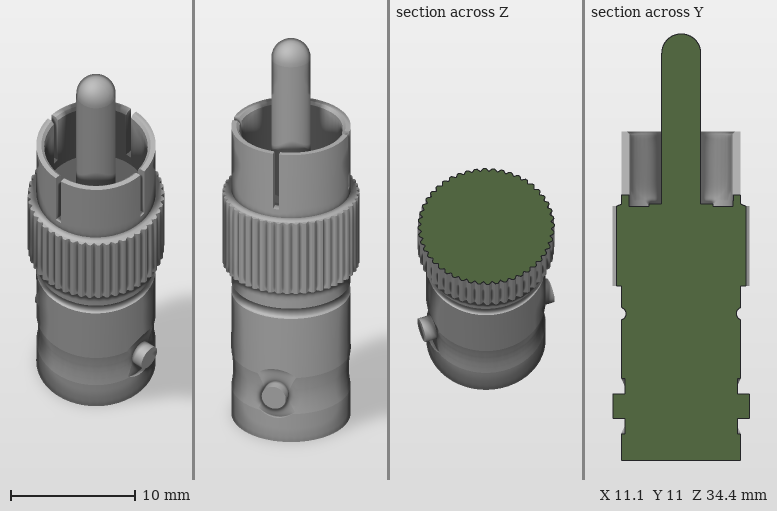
import cadquery as cq
import math

WAIST_BOTTOM = 2.58
WAIST_TOP = 5.90
GROOVE_BOTTOM = 11.37
GROOVE_TOP = 12.32
KNURL_BOTTOM = 14.05
KNURL_TOP = 20.50
KNURL_CONE_TOP = 20.68
SLOT_FLOOR = 21.42
SLEEVE_TOP = 26.50
PIN_TIP = 34.39

BODY_RADIUS = 4.81
WAIST_DEPTH = 0.16
GROOVE_DEPTH = 0.35

KNURL_RADIUS = 5.507
KNURL_DEPTH = 0.26
KNURL_ROOT_RADIUS = KNURL_RADIUS - KNURL_DEPTH
KNURL_COUNT = 48
KNURL_CREST_WIDTH = 0.20
KNURL_MARGIN = 0.3

SOCKET_FLOOR = KNURL_TOP
SOCKET_RADIUS = 4.17
SOCKET_MOUTH_RADIUS = 4.40
SOCKET_MOUTH_DEPTH = 0.23
SLOT_WIDTH = 0.50
INSULATOR_RADIUS = 2.60
INSULATOR_HEIGHT = 0.20
PIN_RADIUS = 1.59

LUG_SPAN = 11.05
LUG_RADIUS = 1.0
LUG_HEIGHT = 4.40
LUG_FLAT_RADIUS = 2.23
LUG_FLAT_OFFSET = 4.54


def make_body():
    """Turned body with a shallow waist, a round groove, the plain grip band and a cone above it."""
    waist_radius = BODY_RADIUS - WAIST_DEPTH
    waist_middle = (WAIST_BOTTOM + WAIST_TOP) / 2
    groove_radius = BODY_RADIUS - GROOVE_DEPTH
    groove_middle = (GROOVE_BOTTOM + GROOVE_TOP) / 2
    return (
        cq.Workplane("XZ")
        .moveTo(0, 0)
        .lineTo(BODY_RADIUS, 0)
        .lineTo(BODY_RADIUS, WAIST_BOTTOM)
        .threePointArc((waist_radius, waist_middle), (BODY_RADIUS, WAIST_TOP))
        .lineTo(BODY_RADIUS, GROOVE_BOTTOM)
        .threePointArc((groove_radius, groove_middle), (BODY_RADIUS, GROOVE_TOP))
        .lineTo(BODY_RADIUS, KNURL_BOTTOM)
        .lineTo(KNURL_RADIUS, KNURL_BOTTOM)
        .lineTo(KNURL_RADIUS, KNURL_TOP)
        .lineTo(KNURL_ROOT_RADIUS, KNURL_TOP)
        .lineTo(BODY_RADIUS, KNURL_CONE_TOP)
        .lineTo(BODY_RADIUS, SLEEVE_TOP)
        .lineTo(0, SLEEVE_TOP)
        .close()
        .revolve(360, (0, 0, 0), (0, 1, 0))
    )


def make_knurl_cutter():
    """V-grooves around the grip, with one groove centred on each axis."""
    pitch = 2 * math.pi * KNURL_RADIUS / KNURL_COUNT
    half_width = (pitch - KNURL_CREST_WIDTH) / 2
    outer = KNURL_RADIUS + KNURL_MARGIN
    outer_half_width = half_width * (outer - KNURL_ROOT_RADIUS) / KNURL_DEPTH
    groove = (
        cq.Workplane("XY")
        .workplane(offset=KNURL_BOTTOM)
        .polyline([(KNURL_ROOT_RADIUS, 0), (outer, -outer_half_width), (outer, outer_half_width)])
        .close()
        .extrude(KNURL_TOP - KNURL_BOTTOM)
        .val()
    )
    axis_start = cq.Vector(0, 0, 0)
    axis_end = cq.Vector(0, 0, 1)
    cutter = cq.Workplane("XY")
    for index in range(KNURL_COUNT):
        cutter = cutter.add(groove.rotate(axis_start, axis_end, index * 360 / KNURL_COUNT))
    return cutter.combine(glue=False)


def make_socket_cutter():
    """Bore of the sleeve, widening to its mouth."""
    return (
        cq.Workplane("XZ")
        .moveTo(0, SOCKET_FLOOR)
        .lineTo(SOCKET_RADIUS, SOCKET_FLOOR)
        .lineTo(SOCKET_RADIUS, SLEEVE_TOP - SOCKET_MOUTH_DEPTH)
        .lineTo(SOCKET_MOUTH_RADIUS, SLEEVE_TOP)
        .lineTo(0, SLEEVE_TOP)
        .close()
        .revolve(360, (0, 0, 0), (0, 1, 0))
    )


def make_slot_cutter():
    """Two crossing bars that slit the sleeve wall in four places."""
    length = 2 * KNURL_RADIUS
    depth = SLEEVE_TOP - SLOT_FLOOR
    plane = cq.Workplane("XY").workplane(offset=SLOT_FLOOR)
    along_x = plane.rect(length, SLOT_WIDTH).extrude(depth)
    along_y = plane.rect(SLOT_WIDTH, length).extrude(depth)
    return along_x.union(along_y)


def make_contact():
    """Insulator disc on the socket floor and the round-nosed contact pin."""
    insulator = (
        cq.Workplane("XY")
        .workplane(offset=SOCKET_FLOOR)
        .circle(INSULATOR_RADIUS)
        .extrude(INSULATOR_HEIGHT)
    )
    nose_centre = PIN_TIP - PIN_RADIUS
    nose_mid = PIN_RADIUS * math.sqrt(0.5)
    pin = (
        cq.Workplane("XZ")
        .moveTo(0, SOCKET_FLOOR)
        .lineTo(PIN_RADIUS, SOCKET_FLOOR)
        .lineTo(PIN_RADIUS, nose_centre)
        .threePointArc((nose_mid, nose_centre + nose_mid), (0, PIN_TIP))
        .close()
        .revolve(360, (0, 0, 0), (0, 1, 0))
    )
    return insulator.union(pin)


def make_lug_flats():
    """Round spot faces that give each lug a flat seat on the body."""
    flat_depth = BODY_RADIUS - LUG_FLAT_OFFSET
    plane = cq.Workplane("YZ").center(0, LUG_HEIGHT)
    right = plane.workplane(offset=LUG_FLAT_OFFSET).circle(LUG_FLAT_RADIUS).extrude(flat_depth)
    left = plane.workplane(offset=-LUG_FLAT_OFFSET).circle(LUG_FLAT_RADIUS).extrude(-flat_depth)
    return right.union(left)


def make_lugs():
    """One cross bar through the body, standing out as a lug on each side."""
    return cq.Workplane("YZ").center(0, LUG_HEIGHT).circle(LUG_RADIUS).extrude(LUG_SPAN / 2, both=True)


result = (
    make_body()
    .cut(make_knurl_cutter())
    .cut(make_socket_cutter())
    .cut(make_slot_cutter())
    .union(make_contact())
    .cut(make_lug_flats())
    .union(make_lugs())
)